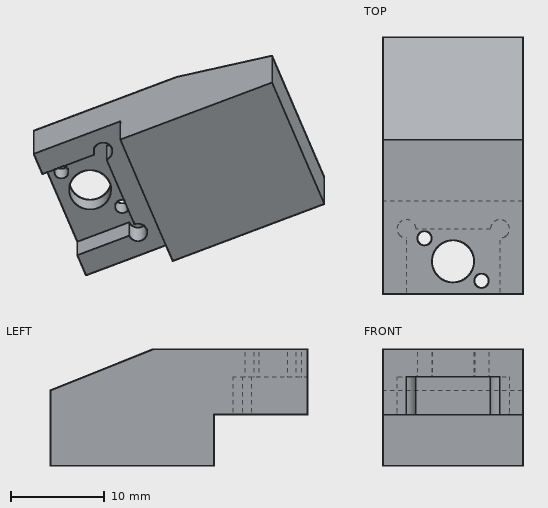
import cadquery as cq

width = 15.0
length = 27.5
height = 12.5

overhang_length = 10.0
overhang_bottom = 5.5

slope_length = 11.0
slope_drop = 4.4
back_height = height - slope_drop

main_hole_diameter = 4.48
main_hole_y = 3.5
small_hole_diameter = 1.5
small_hole_offset_x = 3.05
rear_small_hole_y = 5.97
front_small_hole_y = 1.42
main_hole_centers = [(0, main_hole_y)]
small_hole_centers = [
    (-small_hole_offset_x, rear_small_hole_y),
    (small_hole_offset_x, front_small_hole_y),
]

roof_thickness = 2.95
pocket_top = height - roof_thickness
pocket_height = pocket_top - overhang_bottom
pocket_width = 10.0
pocket_depth = 2 * main_hole_y
corner_relief_diameter = 2.0


def make_body():
    """Side profile in the YZ plane, extruded across the full width."""
    profile = [
        (overhang_length, 0),
        (length, 0),
        (length, back_height),
        (length - slope_length, height),
        (0, height),
        (0, overhang_bottom),
        (overhang_length, overhang_bottom),
    ]
    return cq.Workplane("YZ").polyline(profile).close().extrude(width / 2, both=True)


def make_pocket():
    """Rectangular pocket with a round relief centred on each inner corner."""
    recess = (
        cq.Workplane("XY", origin=(0, pocket_depth / 2, overhang_bottom))
        .rect(pocket_width, pocket_depth)
        .extrude(pocket_height)
    )
    inner_corners = [(side * pocket_width / 2, pocket_depth) for side in (-1, 1)]
    reliefs = (
        cq.Workplane("XY", origin=(0, 0, overhang_bottom))
        .pushPoints(inner_corners)
        .circle(corner_relief_diameter / 2)
        .extrude(pocket_height)
    )
    return recess.union(reliefs)


def make_roof_holes(centers, diameter):
    """Vertical cylinders reaching from the pocket top to the upper face."""
    return (
        cq.Workplane("XY", origin=(0, 0, pocket_top))
        .pushPoints(centers)
        .circle(diameter / 2)
        .extrude(roof_thickness)
    )


result = (
    make_body()
    .cut(make_pocket())
    .cut(make_roof_holes(main_hole_centers, main_hole_diameter))
    .cut(make_roof_holes(small_hole_centers, small_hole_diameter))
)